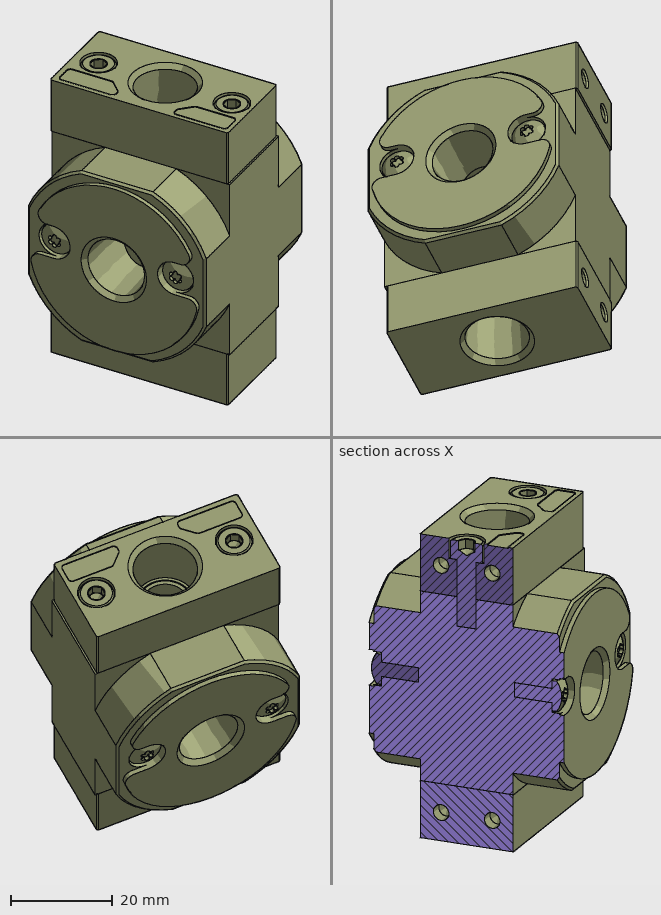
import cadquery as cq
import math

width = 40.0
slab_depth = 20.0
drum_depth = 40.0
drum_flat = 16.0
drum_radius = math.hypot(width / 2, drum_flat / 2)
drum_chamfer = 0.5

pad_height = 1.0
pad_radius = 19.0
pad_corner_radius = 2.0
face_y = drum_depth / 2
pad_y = face_y + pad_height

port_diameter = 12.2
port_mouth_diameter = 14.7
taper_start_diameter = 12.7
taper_length = 9.0
port_mouth_depth = (port_mouth_diameter - taper_start_diameter) / 2

insert_diameter = 18.0
insert_neck_diameter = 10.6
insert_bore_diameter = 9.0
insert_shoulder_z = 4.0
insert_cone_height = (insert_diameter - insert_neck_diameter) / 2
chamber_top_z = insert_shoulder_z + insert_cone_height
neck_hole_diameter = 11.0

block_height = 12.0
block_offset_x = -0.4
block_edge_chamfer = 0.3
end_z = width / 2 + block_height

side_hole_diameter = 3.24
side_hole_mouth_diameter = 4.0
side_hole_depth = 8.0
side_hole_y = 5.5
drill_point_angle = 118.0

label_depth = 0.2
label_inner_x = 6.6
label_left_x = -19.2
label_right_x = 18.6
label_back_y = -4.5
label_front_y = -8.9
label_slant = 2.7
label_corner_radius = 0.8

shank_diameter = 4.0
head_diameter = 7.0

cap_screw_x = 15.0
cap_recess_diameter = 7.4
cap_recess_depth = 4.2
cap_head_height = 4.0
cap_edge_diameter = 6.3
cap_edge_chamfer = (head_diameter - cap_edge_diameter) / 2
cap_socket_width = 3.0
cap_socket_depth = 2.0
cap_socket_rim_depth = 0.1
cap_shank_length = 14.0

button_recess_diameter = 7.5
button_x = 13.6
button_z = 2.2
button_recess_depth = 1.6
button_rim_height = 1.0
button_dome_height = 1.3
button_shank_length = 8.0
torx_core_diameter = 2.1
torx_lobe_diameter = 0.9
torx_tip_diameter = 2.9
torx_depth = 1.0


def cone(base, direction, start_radius, end_radius, height):
    return cq.Workplane(cq.Solid.makeCone(start_radius, end_radius, height,
                                          cq.Vector(*base), cq.Vector(*direction)))


def cylinder(base, direction, diameter, height):
    return cq.Workplane(cq.Solid.makeCylinder(diameter / 2, height,
                                              cq.Vector(*base), cq.Vector(*direction)))


def drill_point(base, direction, diameter):
    """Conical end of a drilled hole."""
    height = diameter / 2 / math.tan(math.radians(drill_point_angle / 2))
    return cone(base, direction, diameter / 2, 0, height)


def port(base, direction, depth):
    """Bore from base with a 45 degree mouth and a slightly tapered entry."""
    bore = cylinder(base, direction, port_diameter, depth)
    taper_base = [b + d * port_mouth_depth for b, d in zip(base, direction)]
    taper = cone(taper_base, direction, taper_start_diameter / 2, port_diameter / 2, taper_length)
    mouth = cone(base, direction, port_mouth_diameter / 2, taper_start_diameter / 2, port_mouth_depth)
    return bore.union(taper).union(mouth)


def cap_screw_recess():
    """Recess and shank hole of a cap screw, pointing down from z = 0."""
    recess = cylinder((0, 0, 0), (0, 0, -1), cap_recess_diameter, cap_recess_depth)
    shank_hole = cylinder((0, 0, -cap_recess_depth), (0, 0, -1), shank_diameter, cap_shank_length)
    return recess.union(shank_hole)


def cap_screw():
    """Socket head screw seated in a cap screw recess."""
    head = cylinder((0, 0, -cap_recess_depth), (0, 0, 1), head_diameter, cap_head_height)
    head = head.faces(">Z").edges().chamfer(cap_edge_chamfer)
    corner_diameter = cap_socket_width / math.cos(math.pi / 6)
    head_top = cap_head_height - cap_recess_depth
    flat_turn = 30
    socket = (cq.Workplane().workplane(offset=head_top)
              .polygon(6, corner_diameter).extrude(-cap_socket_depth)
              .rotate((0, 0, 0), (0, 0, 1), flat_turn))
    socket_floor = drill_point((0, 0, head_top - cap_socket_depth), (0, 0, -1), cap_socket_width)
    shank = cylinder((0, 0, -cap_recess_depth), (0, 0, -1), shank_diameter, cap_shank_length)
    socket_rim = cylinder((0, 0, head_top), (0, 0, -1), corner_diameter, cap_socket_rim_depth)
    return head.union(shank).cut(socket).cut(socket_floor).cut(socket_rim)


def button_screw_recess():
    """Recess and shank hole of a button screw, pointing down from z = 0."""
    recess = cylinder((0, 0, 0), (0, 0, -1), button_recess_diameter, button_recess_depth)
    shank_hole = cylinder((0, 0, -button_recess_depth), (0, 0, -1), shank_diameter, button_shank_length)
    return recess.union(shank_hole)


def torx_socket(top):
    """Six-lobed socket going down from the given height."""
    plane = cq.Workplane().workplane(offset=top)
    socket = plane.circle(torx_core_diameter / 2).extrude(-torx_depth)
    lobe_circle = (torx_tip_diameter - torx_lobe_diameter) / 2
    lobes = (plane.polarArray(lobe_circle, 90, 360, 6)
             .circle(torx_lobe_diameter / 2).extrude(-torx_depth))
    return socket.union(lobes)


def button_screw():
    """Domed screw seated in a button screw recess."""
    seat = -button_recess_depth
    rim = seat + button_rim_height
    apex = rim + button_dome_height
    radius = head_diameter / 2
    dome_radius = (radius ** 2 + button_dome_height ** 2) / (2 * button_dome_height)
    mid_angle = math.asin(radius / dome_radius) / 2
    mid_point = (dome_radius * math.sin(mid_angle),
                 apex - dome_radius * (1 - math.cos(mid_angle)))
    screw = (cq.Workplane("XZ")
             .moveTo(0, apex)
             .threePointArc(mid_point, (radius, rim))
             .lineTo(radius, seat)
             .lineTo(shank_diameter / 2, seat)
             .lineTo(shank_diameter / 2, seat - button_shank_length)
             .lineTo(0, seat - button_shank_length)
             .close()
             .revolve(360, (0, 0, 0), (0, 1, 0)))
    return screw.cut(torx_socket(apex))


def at_button_places(shape):
    """Copies of a shape that points down, placed on both drum faces."""
    front = shape.rotate((0, 0, 0), (1, 0, 0), 90)
    back = shape.rotate((0, 0, 0), (1, 0, 0), -90)
    return [turned.translate((x, y, button_z))
            for turned, y in ((front, -face_y), (back, face_y))
            for x in (-button_x, button_x)]


def at_cap_places(shape):
    return [shape.translate((x, 0, end_z)) for x in (-cap_screw_x, cap_screw_x)]


def drums():
    """Round bar with four flats, chamfered at both ends."""
    bar = cq.Workplane("XZ").circle(drum_radius).extrude(face_y, both=True)
    flat_sided = bar.intersect(cq.Workplane().box(width, drum_depth, width))
    return flat_sided.faces("|Y").chamfer(drum_chamfer)


def pads():
    """Raised round pads, notched inward from the rim to clear each button screw."""
    disc = cq.Workplane("XZ").circle(pad_radius).extrude(pad_y, both=True)
    for side in (-1, 1):
        notch = (cq.Workplane().box(pad_radius, 2 * pad_y, button_recess_diameter)
                 .translate((side * (button_x + pad_radius / 2), 0, button_z)))
        disc = disc.cut(notch)
    pad_corner_min_x = (button_x + pad_radius) / 2
    rim_corners = disc.edges("|Y").filter(lambda edge: abs(edge.Center().x) > pad_corner_min_x)
    disc = rim_corners.fillet(pad_corner_radius)
    for x in (-button_x, button_x):
        disc = disc.cut(cylinder((x, -pad_y, button_z), (0, 1, 0), button_recess_diameter, 2 * pad_y))
    return disc


def chamber():
    """Space for the insert: wide below, with a narrow neck hole at the top."""
    bottom = -width / 2
    wide = cylinder((0, 0, bottom), (0, 0, 1), insert_diameter, chamber_top_z - bottom)
    neck_hole = cylinder((0, 0, chamber_top_z), (0, 0, 1), neck_hole_diameter, width / 2 - chamber_top_z)
    return wide.union(neck_hole)


def make_housing():
    slab = cq.Workplane().box(width, slab_depth, width)
    body = slab.union(drums()).union(pads())
    body = body.cut(chamber())
    for side in (-1, 1):
        body = body.cut(port((0, side * pad_y, 0), (0, -side, 0), pad_y))
    for recess in at_button_places(button_screw_recess()):
        body = body.cut(recess)
    for recess in at_cap_places(cap_screw_recess()):
        body = body.cut(recess)
    return body


def make_insert():
    """Stepped tube standing in the housing chamber."""
    bottom = -width / 2
    top = width / 2
    bore_radius = insert_bore_diameter / 2
    radius = insert_diameter / 2
    neck_radius = insert_neck_diameter / 2
    return (cq.Workplane("XZ")
            .moveTo(bore_radius, bottom)
            .lineTo(radius, bottom)
            .lineTo(radius, insert_shoulder_z)
            .lineTo(neck_radius, chamber_top_z)
            .lineTo(neck_radius, top)
            .lineTo(bore_radius, top)
            .close()
            .revolve(360, (0, 0, 0), (0, 1, 0)))


def end_block(side):
    """Block above (side 1) or below (side -1) the housing."""
    middle_z = side * (width + block_height) / 2
    block = (cq.Workplane().box(width, slab_depth, block_height)
             .edges("|Z").chamfer(block_edge_chamfer)
             .translate((block_offset_x, 0, middle_z)))
    block = block.cut(port((0, 0, side * end_z), (0, 0, -side), block_height))
    left_x = block_offset_x - width / 2
    mouth_depth = (side_hole_mouth_diameter - side_hole_diameter) / 2
    for y in (-side_hole_y, side_hole_y):
        mouth = (left_x, y, middle_z)
        hole_end = (left_x + side_hole_depth, y, middle_z)
        block = block.cut(cylinder(mouth, (1, 0, 0), side_hole_diameter, side_hole_depth))
        block = block.cut(cone(mouth, (1, 0, 0), side_hole_mouth_diameter / 2,
                               side_hole_diameter / 2, mouth_depth))
        block = block.cut(drill_point(hole_end, (1, 0, 0), side_hole_diameter))
    return block


def label_recess(outer_x, side):
    """Shallow recess whose inner end slants away from the bore."""
    inner_x = side * label_inner_x
    return (cq.Workplane().workplane(offset=end_z)
            .moveTo(outer_x, label_front_y)
            .lineTo(inner_x, label_front_y)
            .lineTo(inner_x, label_back_y - label_slant)
            .lineTo(inner_x + side * label_slant, label_back_y)
            .lineTo(outer_x, label_back_y)
            .close()
            .extrude(-label_depth)
            .edges("|Z").fillet(label_corner_radius))


def make_top_block():
    block = end_block(1)
    for recess in at_cap_places(cap_screw_recess()):
        block = block.cut(recess)
    block = block.cut(label_recess(label_left_x, -1))
    return block.cut(label_recess(label_right_x, 1))


housing = make_housing()
insert = make_insert()
top_block = make_top_block()
bottom_block = end_block(-1)
cap_screws = at_cap_places(cap_screw())
button_screws = at_button_places(button_screw())

result = cq.Compound.makeCompound([
    housing.val(),
    insert.val(),
    top_block.val(),
    bottom_block.val(),
    *[screw.val() for screw in cap_screws],
    *[screw.val() for screw in button_screws],
])